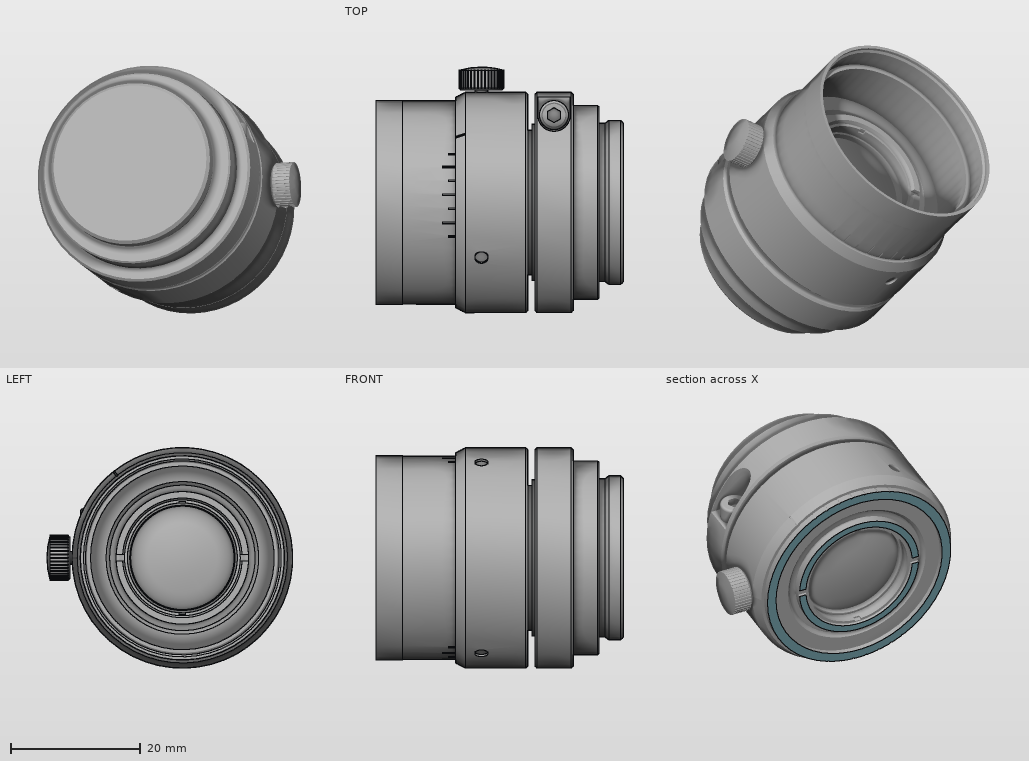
import cadquery as cq
import math


RIM_RADIUS = 15.8
BARREL_RADIUS = 15.75
RIM_LENGTH = 4.1
FILTER_BORE_RADIUS = 15.0
RIM_BORE_RADIUS = 15.3
RIM_BORE_DEPTH = 0.45
FILTER_BORE_START = 0.75
HOOD_BORE_RADIUS = 14.2
HOOD_DEPTH = 12.0

FOCUS_RADIUS = 17.055
FOCUS_FRONT_RADIUS = 16.25
FOCUS_START = 12.3
FOCUS_CONE_END = 13.85
FOCUS_END = 23.5
EDGE_CHAMFER = 0.35

NECK_RADIUS = 11.2
NECK_END = 24.1
COLLAR_RADIUS = 12.1

CLAMP_START = 24.55
CLAMP_END = 30.5

BODY_RADIUS = 15.0
BODY_END = 34.5
BODY_CHAMFER = 0.25
RELIEF_RADIUS = 12.25
RELIEF_END = 35.4
MOUNT_RADIUS = 12.7
MOUNT_CONE_END = 36.0
MOUNT_CHAMFER = 0.45
TOTAL_LENGTH = 38.27

CELL_MOUTH_RADIUS = 11.8
CELL_RADIUS = 11.25
CELL_FLOOR = 12.6
RETAINER_OUTER_RADIUS = 10.25
RETAINER_INNER_RADIUS = 9.25
RETAINER_THROAT_RADIUS = 8.95
RETAINER_FACE = 10.95
INNER_RING_FACE = 11.55
INNER_RING_OUTER_RADIUS = 8.75
INNER_RING_INNER_RADIUS = 8.5
LENS_SEAT_FACE = 13.3
LENS_SEAT_RADIUS = 8.15
LENS_RADIUS = 8.0
LENS_EDGE = 14.1
LENS_RISE = 1.2
SPANNER_SLOT_WIDTH = 1.0
SPANNER_SLOT_DEPTH = 0.7

SCREW_X = 16.3
SCREW_HOLE_DIAMETER = 2.05
SCREW_HOLE_DEPTH = 0.4
SCREW_SPACING = 120.0
THUMB_STEM_RADIUS = 1.0
THUMB_STEM_ROOT = 16.0
KNOB_RADIUS = 3.5
KNOB_START = 17.35
KNOB_DOME_START = 20.43
KNOB_TOP = 20.945
KNOB_CHAMFER = 0.35
KNURL_COUNT = 40
KNURL_RADIUS = 0.08

CLAMP_SCREW_X = (CLAMP_START + CLAMP_END) / 2
CLAMP_SCREW_Y = 13.5
CLAMP_POCKET_WIDTH = 5.0
CLAMP_POCKET_FLOOR = 5.0
CLAMP_HEAD_DIAMETER = 4.5
CLAMP_HEAD_TOP = 7.6
CLAMP_HEAD_FILLET = 0.4
HEX_ACROSS_FLATS = 2.0
HEX_DEPTH = 1.2

MARK_WIDTH = 0.25
MARK_DEPTH = 0.1
MARK_COUNT = 7
MARK_STEP = 8.0
FIRST_MARK_ANGLE = -19.6
SHORT_MARK_START = 11.25
LONG_MARK_START = 10.25
INDEX_ANGLE = 38.5


def lens_body():
    """Revolve the stepped outside and the hollow front about the X axis."""
    outside = [
        (0, RIM_RADIUS),
        (RIM_LENGTH, RIM_RADIUS),
        (RIM_LENGTH, BARREL_RADIUS),
        (FOCUS_START, BARREL_RADIUS),
        (FOCUS_START, FOCUS_FRONT_RADIUS),
        (FOCUS_CONE_END, FOCUS_RADIUS),
        (FOCUS_END - EDGE_CHAMFER, FOCUS_RADIUS),
        (FOCUS_END, FOCUS_RADIUS - EDGE_CHAMFER),
        (FOCUS_END, NECK_RADIUS),
        (NECK_END, NECK_RADIUS),
        (NECK_END, COLLAR_RADIUS),
        (CLAMP_START, COLLAR_RADIUS),
        (CLAMP_START, FOCUS_RADIUS - EDGE_CHAMFER),
        (CLAMP_START + EDGE_CHAMFER, FOCUS_RADIUS),
        (CLAMP_END - EDGE_CHAMFER, FOCUS_RADIUS),
        (CLAMP_END, FOCUS_RADIUS - EDGE_CHAMFER),
        (CLAMP_END, BODY_RADIUS),
        (BODY_END - BODY_CHAMFER, BODY_RADIUS),
        (BODY_END, BODY_RADIUS - BODY_CHAMFER),
        (BODY_END, RELIEF_RADIUS),
        (RELIEF_END, RELIEF_RADIUS),
        (MOUNT_CONE_END, MOUNT_RADIUS),
        (TOTAL_LENGTH - MOUNT_CHAMFER, MOUNT_RADIUS),
        (TOTAL_LENGTH, MOUNT_RADIUS - MOUNT_CHAMFER),
        (TOTAL_LENGTH, 0),
    ]
    inside = [
        (LENS_EDGE, LENS_RADIUS),
        (LENS_SEAT_FACE, LENS_SEAT_RADIUS),
        (LENS_SEAT_FACE, INNER_RING_INNER_RADIUS),
        (INNER_RING_FACE, INNER_RING_INNER_RADIUS),
        (INNER_RING_FACE, RETAINER_THROAT_RADIUS),
        (RETAINER_FACE, RETAINER_INNER_RADIUS),
        (RETAINER_FACE, RETAINER_OUTER_RADIUS),
        (CELL_FLOOR, RETAINER_OUTER_RADIUS),
        (CELL_FLOOR, CELL_RADIUS),
        (HOOD_DEPTH, CELL_MOUTH_RADIUS),
        (HOOD_DEPTH, HOOD_BORE_RADIUS),
        (RIM_LENGTH, HOOD_BORE_RADIUS),
        (RIM_LENGTH, FILTER_BORE_RADIUS),
        (FILTER_BORE_START, FILTER_BORE_RADIUS),
        (RIM_BORE_DEPTH, RIM_BORE_RADIUS),
        (0, RIM_BORE_RADIUS),
    ]
    dome_radius = (LENS_RADIUS**2 + LENS_RISE**2) / (2 * LENS_RISE)
    half_angle = math.asin(LENS_RADIUS / dome_radius) / 2
    dome_middle = (
        LENS_EDGE - LENS_RISE + dome_radius * (1 - math.cos(half_angle)),
        dome_radius * math.sin(half_angle),
    )
    profile = (
        cq.Workplane("XY")
        .polyline(outside)
        .lineTo(LENS_EDGE - LENS_RISE, 0)
        .threePointArc(dome_middle, inside[0])
    )
    for point in inside[1:]:
        profile = profile.lineTo(*point)
    return profile.close().revolve(360, (0, 0, 0), (1, 0, 0))


def spanner_slots(face_x, inner_radius, outer_radius, angle):
    """Two opposite key slots across a ring; angle 0 puts them at +Y and -Y."""
    across = cq.Workplane("XY").box(
        SPANNER_SLOT_DEPTH, 2 * outer_radius, SPANNER_SLOT_WIDTH, centered=(False, True, True)
    )
    core = cq.Workplane("YZ").circle(inner_radius).extrude(SPANNER_SLOT_DEPTH)
    envelope = cq.Workplane("YZ").circle(outer_radius).extrude(SPANNER_SLOT_DEPTH)
    slots = across.intersect(envelope).cut(core)
    return slots.rotate((0, 0, 0), (1, 0, 0), angle).translate((face_x, 0, 0))


def set_screw_holes():
    """The two radial holes sharing the thumbscrew's 120 degree pattern."""
    hole = (
        cq.Workplane("XZ", origin=(SCREW_X, FOCUS_RADIUS - SCREW_HOLE_DEPTH, 0))
        .circle(SCREW_HOLE_DIAMETER / 2)
        .extrude(-2 * SCREW_HOLE_DEPTH)
    )
    first = hole.rotate((0, 0, 0), (1, 0, 0), SCREW_SPACING)
    second = hole.rotate((0, 0, 0), (1, 0, 0), -SCREW_SPACING)
    return first.union(second)


def thumbscrew():
    """Knurled, domed knob on a stem, pointing to +Y."""
    dome_height = KNOB_TOP - KNOB_DOME_START
    dome_radius = (KNOB_RADIUS**2 + dome_height**2) / (2 * dome_height)
    half_angle = math.asin(KNOB_RADIUS / dome_radius) / 2
    dome_middle = (
        dome_radius * math.sin(half_angle),
        KNOB_TOP - dome_radius * (1 - math.cos(half_angle)),
    )
    knob = (
        cq.Workplane("XY")
        .moveTo(0, THUMB_STEM_ROOT)
        .lineTo(THUMB_STEM_RADIUS, THUMB_STEM_ROOT)
        .lineTo(THUMB_STEM_RADIUS, KNOB_START)
        .lineTo(KNOB_RADIUS - KNOB_CHAMFER, KNOB_START)
        .lineTo(KNOB_RADIUS, KNOB_START + KNOB_CHAMFER)
        .lineTo(KNOB_RADIUS, KNOB_DOME_START)
        .threePointArc(dome_middle, (0, KNOB_TOP))
        .close()
        .revolve(360, (0, 0, 0), (0, 1, 0))
    )
    grooves = (
        cq.Workplane("XZ", origin=(0, KNOB_START, 0))
        .polarArray(KNOB_RADIUS, 0, 360, KNURL_COUNT)
        .circle(KNURL_RADIUS)
        .extrude(KNOB_START - KNOB_TOP)
    )
    return knob.cut(grooves).translate((SCREW_X, 0, 0))


def clamp_screw_pocket():
    """Round-ended pocket in the clamp ring, open toward +Y and +Z."""
    seat = cq.Workplane("XY", origin=(CLAMP_SCREW_X, CLAMP_SCREW_Y, CLAMP_POCKET_FLOOR))
    round_end = seat.circle(CLAMP_POCKET_WIDTH / 2).extrude(FOCUS_RADIUS)
    open_side = seat.box(
        CLAMP_POCKET_WIDTH, FOCUS_RADIUS, FOCUS_RADIUS, centered=(True, False, False)
    )
    return round_end.union(open_side)


def clamp_screw():
    """Socket head of the clamp screw, standing on the pocket floor."""
    head = (
        cq.Workplane("XY", origin=(CLAMP_SCREW_X, CLAMP_SCREW_Y, CLAMP_POCKET_FLOOR))
        .circle(CLAMP_HEAD_DIAMETER / 2)
        .extrude(CLAMP_HEAD_TOP - CLAMP_POCKET_FLOOR)
        .faces(">Z")
        .edges()
        .fillet(CLAMP_HEAD_FILLET)
    )
    socket = (
        cq.Workplane("XY", origin=(CLAMP_SCREW_X, CLAMP_SCREW_Y, CLAMP_HEAD_TOP))
        .polygon(6, HEX_ACROSS_FLATS, circumscribed=True)
        .extrude(-HEX_DEPTH)
    )
    return head.cut(socket)


def aperture_marks():
    """Alternating short and long engraved lines, on the top and again on the bottom."""
    marks = cq.Workplane("XY")
    for index in range(MARK_COUNT):
        start = SHORT_MARK_START if index % 2 == 0 else LONG_MARK_START
        mark = cq.Workplane("XY", origin=(start, 0, BARREL_RADIUS - MARK_DEPTH)).box(
            FOCUS_START - start, MARK_WIDTH, 2 * MARK_DEPTH, centered=(False, True, False)
        )
        angle = FIRST_MARK_ANGLE + index * MARK_STEP
        marks = marks.union(mark.rotate((0, 0, 0), (1, 0, 0), -angle))
    return marks.union(marks.rotate((0, 0, 0), (1, 0, 0), 180))


def index_mark():
    """Engraved line running down the focus ring's front cone."""
    bar = (
        cq.Workplane("XZ")
        .moveTo(FOCUS_START, FOCUS_FRONT_RADIUS - MARK_DEPTH)
        .lineTo(FOCUS_CONE_END, FOCUS_RADIUS - MARK_DEPTH)
        .lineTo(FOCUS_CONE_END, FOCUS_RADIUS + MARK_DEPTH)
        .lineTo(FOCUS_START, FOCUS_RADIUS + MARK_DEPTH)
        .close()
        .extrude(MARK_WIDTH / 2, both=True)
    )
    return bar.rotate((0, 0, 0), (1, 0, 0), -INDEX_ANGLE)


result = (
    lens_body()
    .cut(spanner_slots(RETAINER_FACE, RETAINER_THROAT_RADIUS, RETAINER_OUTER_RADIUS, 0))
    .cut(spanner_slots(INNER_RING_FACE, INNER_RING_INNER_RADIUS, INNER_RING_OUTER_RADIUS, 90))
    .cut(set_screw_holes())
    .cut(aperture_marks())
    .cut(index_mark())
    .cut(clamp_screw_pocket())
    .union(clamp_screw())
    .union(thumbscrew())
)